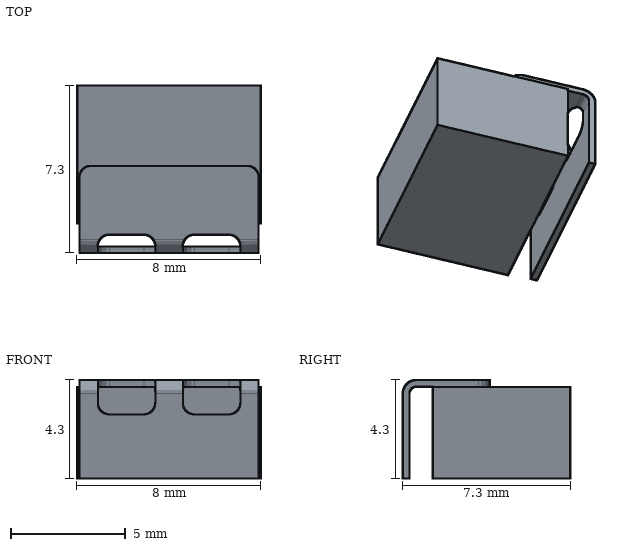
import cadquery as cq

block_width = 8.0
block_depth = 6.0
block_height = 4.0

sheet = 0.3
cover_width = 7.8
flange_overlap = 2.5
wall_gap = 1.0
bend_outer_radius = 0.6
flange_corner_radius = 0.5

window_width = 2.5
window_spacing = 3.7
window_flange_reach = 0.8
window_wall_reach = 1.5
window_corner_radius = 0.5

bend_inner_radius = bend_outer_radius - sheet
block_front = sheet + wall_gap
flange_back = block_front + flange_overlap
cover_top = block_height + sheet
bend_start = cover_top - bend_outer_radius


def make_block():
    return cq.Workplane("XY").box(
        block_width, block_depth, block_height, centered=(True, False, False)
    ).translate((0, block_front, 0))


def make_cover():
    """L-shaped sheet with a rounded bend and rounded back corners on the flange."""
    profile = (
        cq.Workplane("YZ", origin=(-cover_width / 2, 0, 0))
        .lineTo(0, bend_start)
        .radiusArc((bend_outer_radius, cover_top), bend_outer_radius)
        .lineTo(flange_back, cover_top)
        .lineTo(flange_back, block_height)
        .lineTo(bend_outer_radius, block_height)
        .radiusArc((sheet, bend_start), -bend_inner_radius)
        .lineTo(sheet, 0)
        .close()
    )
    cover = profile.extrude(cover_width)
    return cover.faces(">Y").edges("|Z").fillet(flange_corner_radius)


def make_window_cutter(x_center):
    """Flange part rounded at the back, plus wall part rounded at the bottom."""
    flange_cut_height = cover_top - bend_start
    flange_part = (
        cq.Workplane("XY")
        .box(window_width, window_flange_reach, flange_cut_height, centered=(True, False, False))
        .faces(">Y").edges("|Z").fillet(window_corner_radius)
        .translate((x_center, 0, bend_start))
    )
    window_bottom = cover_top - window_wall_reach
    wall_part = (
        cq.Workplane("XY")
        .box(window_width, sheet, bend_start - window_bottom, centered=(True, False, False))
        .faces("<Z").edges("|Y").fillet(window_corner_radius)
        .translate((x_center, 0, window_bottom))
    )
    return flange_part.union(wall_part)


cover = make_cover()
for side in (-1, 1):
    cover = cover.cut(make_window_cutter(side * window_spacing / 2))

result = make_block().union(cover)